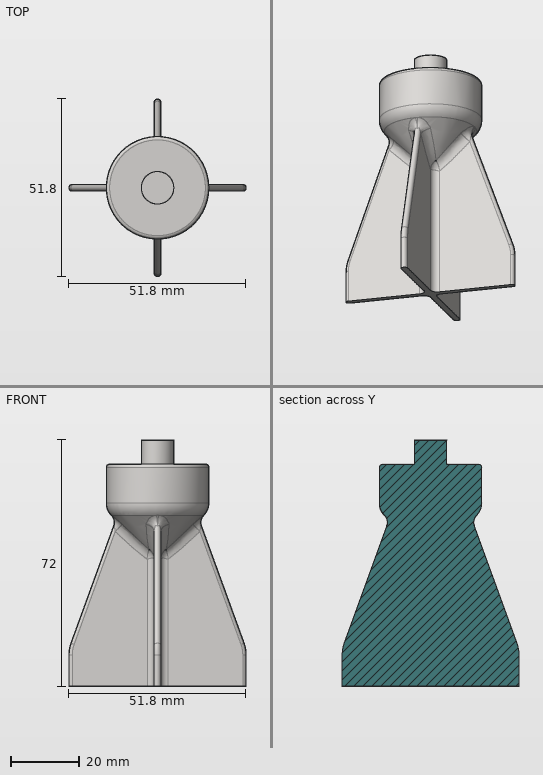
import cadquery as cq
import math

total_height = 72.0
pin_diameter = 9.5
head_diameter = 30.0
head_top = 65.0
head_top_round = 1.0
cone_base_height = 51.5
cone_angle = 45.0
shoulder_round = 5.0

fin_count = 4
fin_span = 51.83
fin_thickness = 2.0
fin_bend_height = 11.0
fin_slope_angle = 20.0
fin_bend_round = 10.0
inner_corner_round = 2.0
cone_joint_round = 3.0

fin_half_span = fin_span / 2
head_radius = head_diameter / 2
cone_apex_height = cone_base_height - head_radius * math.tan(math.radians(cone_angle))
flank_turn = 90 - cone_angle
shoulder_center_height = cone_base_height + shoulder_round * math.tan(math.radians(flank_turn / 2))
cone_top_height = shoulder_center_height - shoulder_round * math.sin(math.radians(flank_turn))
fin_edge_radius = fin_thickness / 2
fin_top = cone_base_height


def polar(center, radius, angle):
    """Point at an angle in degrees on a circle in the radial/height plane."""
    direction = math.radians(angle)
    return (
        center[0] + radius * math.cos(direction),
        center[1] + radius * math.sin(direction),
    )


def make_head():
    """Rounded cylinder with a conical underside, revolved about Z."""
    shoulder_center = (head_radius - shoulder_round, shoulder_center_height)
    top_center = (head_radius - head_top_round, head_top - head_top_round)
    return (
        cq.Workplane("XZ")
        .moveTo(0, cone_apex_height)
        .lineTo(*polar(shoulder_center, shoulder_round, -flank_turn))
        .threePointArc(
            polar(shoulder_center, shoulder_round, -flank_turn / 2),
            polar(shoulder_center, shoulder_round, 0),
        )
        .lineTo(head_radius, top_center[1])
        .threePointArc(
            polar(top_center, head_top_round, 45),
            polar(top_center, head_top_round, 90),
        )
        .lineTo(0, head_top)
        .close()
        .revolve(360, (0, 0, 0), (0, 1, 0))
    )


def trace_fin_edge(start):
    """Continue a sketch up the centre line of the rounded outer fin edge."""
    slope = math.radians(fin_slope_angle)
    bend_center = (
        fin_half_span - fin_bend_round,
        fin_bend_height - fin_bend_round * math.tan(slope / 2),
    )
    radius = fin_bend_round - fin_edge_radius
    bend_start = polar(bend_center, radius, 0)
    bend_middle = polar(bend_center, radius, fin_slope_angle / 2)
    bend_end = polar(bend_center, radius, fin_slope_angle)
    top_reach = bend_end[0] - (fin_top - bend_end[1]) * math.tan(slope)
    return (
        start.lineTo(*bend_start)
        .threePointArc(bend_middle, bend_end)
        .lineTo(top_reach, fin_top)
    )


def make_fin():
    """Flat plate from the axis out along +X, with a fully rounded outer edge."""
    edge_reach = fin_half_span - fin_edge_radius
    outline = cq.Workplane("XZ").lineTo(edge_reach, 0)
    plate = (
        trace_fin_edge(outline)
        .lineTo(0, fin_top)
        .close()
        .extrude(fin_thickness / 2, both=True)
    )
    edge_path = trace_fin_edge(cq.Workplane("XZ").moveTo(edge_reach, 0))
    edge_rod = cq.Workplane("XY").center(edge_reach, 0).circle(fin_edge_radius).sweep(edge_path)
    return plate.union(edge_rod)


def make_fins():
    fin = make_fin()
    fins = fin
    for index in range(1, fin_count):
        fins = fins.union(fin.rotate((0, 0, 0), (0, 0, 1), index * 360 / fin_count))
    return fins.clean()


def is_inner_corner(edge):
    """True for the upright corners where neighbouring fins meet."""
    center = edge.Center()
    corner_reach = math.hypot(fin_thickness, fin_thickness)
    return edge.geomType() == "LINE" and math.hypot(center.x, center.y) < corner_reach


def is_cone_joint(edge):
    """True for the curves where the fins run into the cone."""
    box = edge.BoundingBox()
    within_cone = cone_apex_height < box.zmin and box.zmax < cone_top_height
    return edge.geomType() not in ("LINE", "CIRCLE") and within_cone


def round_edges(body, is_wanted, radius):
    wanted = [edge for edge in body.edges().vals() if is_wanted(edge)]
    return body.newObject(wanted).fillet(radius)


def make_pin():
    return (
        cq.Workplane("XY")
        .workplane(offset=head_top)
        .circle(pin_diameter / 2)
        .extrude(total_height - head_top)
    )


finned_head = make_head().union(make_fins())
finned_head = round_edges(finned_head, is_inner_corner, inner_corner_round)
finned_head = round_edges(finned_head, is_cone_joint, cone_joint_round)
result = finned_head.union(make_pin())